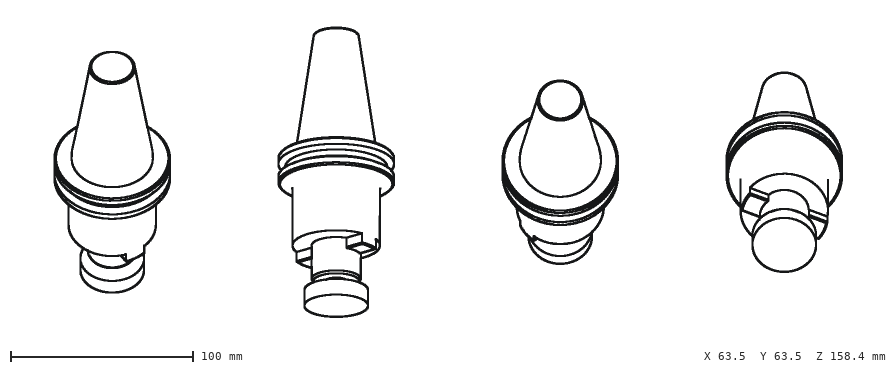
import cadquery as cq

HEAD_TOP = 9.2
PILOT_BOTTOM = 14.3
KEY_BOTTOM = 29.1
BODY_BOTTOM = 35.2
FLANGE_BOTTOM = 71.1
GROOVE_BOTTOM = 77.5
GROOVE_TOP = 81.0
FLANGE_TOP = 87.1
GAUGE_LEVEL = 90.1
TOTAL_HEIGHT = 158.4

HEAD_RADIUS = 35.0 / 2
SCREW_RADIUS = 12.0 / 2
PILOT_RADIUS = 27.0 / 2
BODY_RADIUS = 48.0 / 2
FLANGE_RADIUS = 63.5 / 2
GROOVE_RADIUS = 56.0 / 2
GAUGE_RADIUS = 44.5 / 2
TAPER_RATIO = 7 / 24
TAPER_TOP_RADIUS = GAUGE_RADIUS - (TOTAL_HEIGHT - GAUGE_LEVEL) * TAPER_RATIO / 2

PILOT_CHAMFER_HEIGHT = 1.5
PILOT_CHAMFER_WIDTH = 0.8
BODY_FILLET = 2.9
FLANGE_CHAMFER = 1.0
GROOVE_WALL_HEIGHT = 1.9
TAPER_TOP_CHAMFER = 0.8

KEY_WIDTH = 12.0
KEY_CHAMFER = 0.6


def make_holder():
    """Revolve the taper shank, grooved flange, body, pilot and screw."""
    fillet_diagonal = BODY_FILLET * (1 - 0.5 ** 0.5)
    taper_chamfer_radius = TAPER_TOP_RADIUS + TAPER_TOP_CHAMFER * TAPER_RATIO / 2
    return (
        cq.Workplane("XZ")
        .moveTo(0, 0)
        .lineTo(HEAD_RADIUS, 0)
        .lineTo(HEAD_RADIUS, HEAD_TOP)
        .lineTo(SCREW_RADIUS, HEAD_TOP)
        .lineTo(SCREW_RADIUS, PILOT_BOTTOM)
        .lineTo(PILOT_RADIUS - PILOT_CHAMFER_WIDTH, PILOT_BOTTOM)
        .lineTo(PILOT_RADIUS, PILOT_BOTTOM + PILOT_CHAMFER_HEIGHT)
        .lineTo(PILOT_RADIUS, BODY_BOTTOM)
        .lineTo(BODY_RADIUS, BODY_BOTTOM)
        .lineTo(BODY_RADIUS, FLANGE_BOTTOM - BODY_FILLET)
        .threePointArc(
            (BODY_RADIUS + fillet_diagonal, FLANGE_BOTTOM - fillet_diagonal),
            (BODY_RADIUS + BODY_FILLET, FLANGE_BOTTOM),
        )
        .lineTo(FLANGE_RADIUS - FLANGE_CHAMFER, FLANGE_BOTTOM)
        .lineTo(FLANGE_RADIUS, FLANGE_BOTTOM + FLANGE_CHAMFER)
        .lineTo(FLANGE_RADIUS, GROOVE_BOTTOM - GROOVE_WALL_HEIGHT)
        .lineTo(GROOVE_RADIUS, GROOVE_BOTTOM)
        .lineTo(GROOVE_RADIUS, GROOVE_TOP)
        .lineTo(FLANGE_RADIUS, GROOVE_TOP + GROOVE_WALL_HEIGHT)
        .lineTo(FLANGE_RADIUS, FLANGE_TOP - FLANGE_CHAMFER)
        .lineTo(FLANGE_RADIUS - FLANGE_CHAMFER, FLANGE_TOP)
        .lineTo(GAUGE_RADIUS, FLANGE_TOP)
        .lineTo(GAUGE_RADIUS, GAUGE_LEVEL)
        .lineTo(taper_chamfer_radius, TOTAL_HEIGHT - TAPER_TOP_CHAMFER)
        .lineTo(TAPER_TOP_RADIUS - TAPER_TOP_CHAMFER, TOTAL_HEIGHT)
        .lineTo(0, TOTAL_HEIGHT)
        .close()
        .revolve(360, (0, 0), (0, 1))
    )


def make_drive_keys():
    """Make the two opposite keys below the body, along X."""
    key_height = BODY_BOTTOM - KEY_BOTTOM
    bar = (
        cq.Workplane("XY", origin=(0, 0, KEY_BOTTOM))
        .rect(2 * FLANGE_RADIUS, KEY_WIDTH)
        .extrude(key_height)
        .edges("|X and <Z")
        .chamfer(KEY_CHAMFER)
    )
    envelope = (
        cq.Workplane("XY", origin=(0, 0, KEY_BOTTOM))
        .circle(BODY_RADIUS)
        .extrude(key_height)
        .faces("<Z")
        .chamfer(KEY_CHAMFER)
    )
    return bar.intersect(envelope)


result = make_holder().union(make_drive_keys())